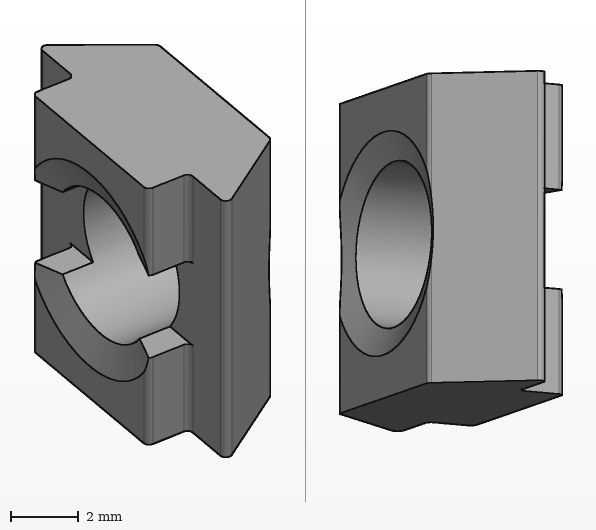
import cadquery as cq
import math

width = 9.63
thickness = 4.5
length = 9.3
neck_width = 5.99
neck_height = 1.5
flank_angle = 55.5
edge_radius = 0.19
hole_diameter = 4.99
front_sink_diameter = 6.99
back_sink_diameter = 6.7
countersink_angle = 136.0
slot_height = 2.99

front_y = -thickness / 2
back_y = thickness / 2
shoulder_y = front_y + neck_height

tip_center_x = width / 2 - edge_radius
tip_x = tip_center_x + edge_radius / math.tan(math.radians(flank_angle / 2))
back_x = tip_x - (back_y - shoulder_y) / math.tan(math.radians(flank_angle))


def make_body():
    half_outline = [
        (neck_width / 2, front_y),
        (neck_width / 2, shoulder_y),
        (tip_x, shoulder_y),
        (back_x, back_y),
    ]
    mirrored = [(-x, y) for x, y in reversed(half_outline)]
    body = cq.Workplane("XY").polyline(half_outline + mirrored).close().extrude(length / 2, both=True)
    return body.edges("|Z").fillet(edge_radius)


def make_countersunk_hole():
    hole_radius = hole_diameter / 2
    front_radius = front_sink_diameter / 2
    back_radius = back_sink_diameter / 2
    wall_slope = math.tan(math.radians(countersink_angle / 2))
    front_depth = (front_radius - hole_radius) / wall_slope
    back_depth = (back_radius - hole_radius) / wall_slope
    profile = [
        (0, front_y),
        (front_radius, front_y),
        (hole_radius, front_y + front_depth),
        (hole_radius, back_y - back_depth),
        (back_radius, back_y),
        (0, back_y),
    ]
    return cq.Workplane("XY").polyline(profile).close().revolve(360, (0, 0, 0), (0, 1, 0))


def make_cross_slot():
    return cq.Workplane("XY").box(width, neck_height, slot_height).translate((0, front_y + neck_height / 2, 0))


result = make_body().cut(make_countersunk_hole()).cut(make_cross_slot())